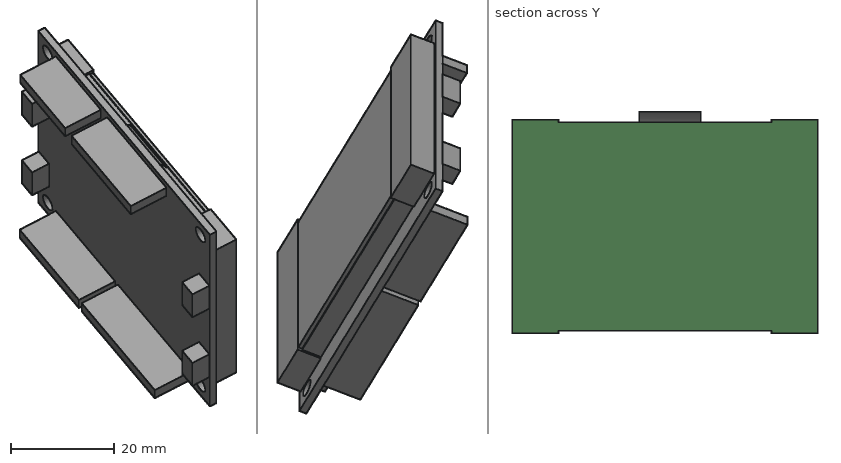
import cadquery as cq
import math

board_width = 60.5
board_height = 53.5
board_thickness = 1.5
hole_diameter = 3.3
hole_inset_x = 3.3
hole_inset_z = 3.45

header_inset_z = 1.4
header_width = 2.55
upper_headers = [(6.25, 15.85), (24.3, 20.9)]
lower_headers = [(6.25, 20.9), (28.1, 25.8)]
upper_header_depth = 8.3
lower_header_depth = 8.4

connector_inset_x = 0.2
connector_width = 3.6
connector_height = 7.15
connector_depth = 3.95
connector_bottoms = [8.95, 30.3]

rail_inset_x = 0.6
rail_width = 9.0
rail_depth = 5.0
rail_bottom = 5.45
rail_top = board_height - 6.6
panel_inset_z = 0.5
panel_depth = 4.05
cover_thickness = 0.85
cover_inset_z = 0.3

cable_left = 25.2
cable_width = 12.0
cable_radius = 4.05
cable_thickness = 0.05
cable_reach = 3.9
cable_top = board_height - 4.6


def block(x, y, z, width, depth, height):
    """Box whose lowest corner is at (x, y, z)."""
    return cq.Workplane("XY").box(width, depth, height, centered=False).translate((x, y, z))


def make_board():
    board = block(0, 0, 0, board_width, board_thickness, board_height)
    hole_points = [
        (x, z)
        for x in (hole_inset_x, board_width - hole_inset_x)
        for z in (hole_inset_z, board_height - hole_inset_z)
    ]
    holes = (
        cq.Workplane("XZ")
        .pushPoints(hole_points)
        .circle(hole_diameter / 2)
        .extrude(-board_thickness)
    )
    return board.cut(holes)


def add_headers(body, headers, bottom, depth):
    for left, length in headers:
        body = body.union(block(left, -depth, bottom, length, depth, header_width))
    return body


def add_connectors(body):
    right_edge = board_width - connector_inset_x - connector_width
    for left in (connector_inset_x, right_edge):
        for bottom in connector_bottoms:
            connector = block(
                left, -connector_depth, bottom, connector_width, connector_depth, connector_height
            )
            body = body.union(connector)
    return body


def add_display(body):
    rail_height = rail_top - rail_bottom
    for left in (rail_inset_x, board_width - rail_inset_x - rail_width):
        body = body.union(block(left, board_thickness, rail_bottom, rail_width, rail_depth, rail_height))

    panel_left = rail_inset_x + rail_width
    panel_width = board_width - 2 * panel_left
    panel_bottom = rail_bottom + panel_inset_z
    panel_height = rail_height - 2 * panel_inset_z
    panel = block(panel_left, board_thickness, panel_bottom, panel_width, panel_depth, panel_height)
    cover = block(
        panel_left,
        board_thickness + panel_depth,
        panel_bottom + cover_inset_z,
        panel_width,
        cover_thickness,
        panel_height - 2 * cover_inset_z,
    )
    return body.union(panel).union(cover)


def make_cable():
    center_z = cable_top - cable_radius
    end_angle = math.asin(cable_reach / cable_radius)

    def arc_point(radius, angle):
        return (board_thickness + radius * math.sin(angle), center_z + radius * math.cos(angle))

    inner_radius = cable_radius - cable_thickness
    return (
        cq.Workplane("YZ")
        .workplane(offset=cable_left)
        .moveTo(*arc_point(cable_radius, 0))
        .threePointArc(arc_point(cable_radius, end_angle / 2), arc_point(cable_radius, end_angle))
        .lineTo(*arc_point(inner_radius, end_angle))
        .threePointArc(arc_point(inner_radius, end_angle / 2), arc_point(inner_radius, 0))
        .close()
        .extrude(cable_width)
    )


result = make_board()
result = add_headers(
    result, upper_headers, board_height - header_inset_z - header_width, upper_header_depth
)
result = add_headers(result, lower_headers, header_inset_z, lower_header_depth)
result = add_connectors(result)
result = add_display(result)
result = result.union(make_cable())